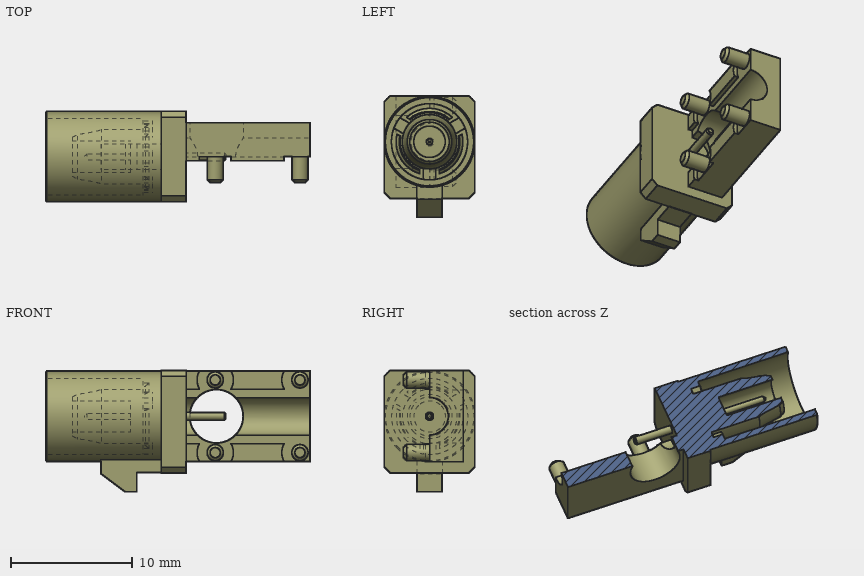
import cadquery as cq

OVERLAP = 0.2

FLANGE_START = 9.55
FLANGE_END = 11.6
PART_LENGTH = 21.85

BARREL_RADIUS = 3.75
BARREL_BORE_RADIUS = 3.15
BARREL_RIM_CHAMFER = 0.1
BORE_FLOOR = 8.0

FLANGE_WIDTH = 2 * BARREL_RADIUS
FLANGE_TOP = 3.8
FLANGE_BOTTOM = -4.7
FLANGE_CHAMFER = 0.5

LATCH_WIDTH = 2.1
LATCH_START = 4.55
LATCH_TIP_START = 6.55
LATCH_END = 7.52
LATCH_RAMP_TOP = -4.75
LATCH_RIB_BOTTOM = -4.65
LATCH_BOTTOM = -6.25
LATCH_ROOT = -3.4

TUBE_START = 2.2
TUBE_HOLE_RADIUS = 1.3
TUBE_NOSE_RADIUS = 1.63
TUBE_NECK_RADIUS = 1.84
TUBE_SHOULDER_RADIUS = 2.04
TUBE_RADIUS = 2.25
TUBE_NOSE_LENGTH = 0.4
TUBE_NECK_LENGTH = 1.2
TUBE_SHOULDER_LENGTH = 0.8
TUBE_HOLE_FLOOR = 7.0

KEYWAY_WIDTH = 1.0
KEYWAY_DEPTH = 0.8
KEYWAY_ANGLES = (30, 150, 270)
GROOVE_OUTER_RADIUS = 2.76
GROOVE_INNER_RADIUS = 2.42
GROOVE_STEP_RADIUS = 2.5
GROOVE_STEP_DEPTH = 0.2
GROOVE_DEPTH = 0.5
GROOVE_GAP_WIDTH = 1.6

PIN_START = 3.2
PIN_STEP = 10.5
PIN_END = 14.85
PIN_FRONT_RADIUS = 0.25
PIN_REAR_RADIUS = 0.33
PIN_TIP_CHAMFER = 0.2
PIN_END_CHAMFER = 0.12

BLOCK_HEIGHT = 7.5
BLOCK_BACK = 2.8
CHANNEL_RADIUS = 1.55
WINDOW_X = 14.1
WINDOW_RADIUS = 2.2

LEG_X = (14.0, 21.0)
LEG_Z = 3.0
LEG_RADIUS = 0.67
LEG_LENGTH = 2.15
LEG_CHAMFER = 0.25
PAD_THICKNESS = 0.35
PAD_INNER_Z = 2.25
PAD_CLEARANCE_RADIUS = 1.5
PAD_END = LEG_X[-1]


def x_cylinder(radius, start, end):
    return cq.Workplane("YZ", origin=(start, 0, 0)).circle(radius).extrude(end - start)


def y_cylinder(radius, x, z, front, back):
    return cq.Workplane("XZ", origin=(0, front, 0)).center(x, z).circle(radius).extrude(front - back)


def box(x_range, y_range, z_range):
    size = [high - low for low, high in (x_range, y_range, z_range)]
    corner = (x_range[0], y_range[0], z_range[0])
    return cq.Workplane("XY").box(*size, centered=False).translate(corner)


def revolve_about_x(points):
    return cq.Workplane("XY").polyline(points).close().revolve(360, (0, 0, 0), (1, 0, 0))


def radial_bar(angle, width, length, start, end):
    """Bar running outward from the axis at the given angle in the YZ plane."""
    bar = box((start, end), (0, length), (-width / 2, width / 2))
    return bar.rotate((0, 0, 0), (1, 0, 0), angle)


def make_barrel():
    shroud = x_cylinder(BARREL_RADIUS, 0, FLANGE_START + OVERLAP)
    shroud = shroud.faces("<X").chamfer(BARREL_RIM_CHAMFER)
    return shroud.cut(x_cylinder(BARREL_BORE_RADIUS, 0, BORE_FLOOR))


def make_flange():
    plate = box(
        (FLANGE_START, FLANGE_END),
        (-FLANGE_WIDTH / 2, FLANGE_WIDTH / 2),
        (FLANGE_BOTTOM, FLANGE_TOP),
    )
    return plate.edges("|X").chamfer(FLANGE_CHAMFER)


def make_latch():
    outline = [
        (LATCH_START, LATCH_ROOT),
        (LATCH_START, LATCH_RAMP_TOP),
        (LATCH_TIP_START, LATCH_BOTTOM),
        (LATCH_END, LATCH_BOTTOM),
        (LATCH_END, LATCH_RIB_BOTTOM),
        (FLANGE_START + OVERLAP, LATCH_RIB_BOTTOM),
        (FLANGE_START + OVERLAP, LATCH_ROOT),
    ]
    return cq.Workplane("XZ").polyline(outline).close().extrude(LATCH_WIDTH / 2, both=True)


def cut_bore_floor(body):
    """Cut three radial keyways and, between them, three arc grooves with conical inner walls."""
    groove = revolve_about_x([
        (BORE_FLOOR, GROOVE_INNER_RADIUS),
        (BORE_FLOOR, GROOVE_OUTER_RADIUS),
        (BORE_FLOOR + GROOVE_DEPTH, GROOVE_OUTER_RADIUS),
        (BORE_FLOOR + GROOVE_STEP_DEPTH, GROOVE_STEP_RADIUS),
    ])
    bore = x_cylinder(BARREL_BORE_RADIUS, BORE_FLOOR, BORE_FLOOR + KEYWAY_DEPTH)
    for angle in KEYWAY_ANGLES:
        gap = radial_bar(angle, GROOVE_GAP_WIDTH, BARREL_RADIUS, BORE_FLOOR, BORE_FLOOR + GROOVE_DEPTH)
        groove = groove.cut(gap)
        keyway = radial_bar(angle, KEYWAY_WIDTH, BARREL_RADIUS, BORE_FLOOR, BORE_FLOOR + KEYWAY_DEPTH)
        body = body.cut(keyway.intersect(bore))
    return body.cut(groove)


def make_contact_tube():
    nose_end = TUBE_START + TUBE_NOSE_LENGTH
    neck_end = nose_end + TUBE_NECK_LENGTH
    shoulder_end = neck_end + TUBE_SHOULDER_LENGTH
    profile = (
        cq.Workplane("XY")
        .moveTo(TUBE_START, TUBE_HOLE_RADIUS)
        .lineTo(TUBE_START, TUBE_NOSE_RADIUS)
        .lineTo(nose_end, TUBE_NECK_RADIUS)
        .lineTo(neck_end, TUBE_SHOULDER_RADIUS)
        .tangentArcPoint((shoulder_end, TUBE_RADIUS), relative=False)
        .lineTo(FLANGE_START, TUBE_RADIUS)
        .lineTo(FLANGE_START, 0)
        .lineTo(TUBE_HOLE_FLOOR, 0)
        .lineTo(TUBE_HOLE_FLOOR, TUBE_HOLE_RADIUS)
        .close()
    )
    return profile.revolve(360, (0, 0, 0), (1, 0, 0))


def make_centre_pin():
    front = x_cylinder(PIN_FRONT_RADIUS, PIN_START, PIN_STEP)
    front = front.faces("<X").chamfer(PIN_TIP_CHAMFER)
    rear = x_cylinder(PIN_REAR_RADIUS, PIN_STEP, PIN_END)
    rear = rear.faces(">X").chamfer(PIN_END_CHAMFER)
    return front.union(rear)


def make_pad(side):
    """Standoff pad along the upper (side = 1) or lower (side = -1) edge of the block."""
    z_range = sorted((side * PAD_INNER_Z, side * BLOCK_HEIGHT / 2))
    pad = box((FLANGE_END - OVERLAP, PAD_END), (-PAD_THICKNESS, OVERLAP), z_range)
    for x in LEG_X:
        pad = pad.cut(y_cylinder(PAD_CLEARANCE_RADIUS, x, side * LEG_Z, 0, -PAD_THICKNESS))
    return pad


def make_leg(x, z):
    leg = y_cylinder(LEG_RADIUS, x, z, OVERLAP, -LEG_LENGTH)
    return leg.faces("<Y").chamfer(LEG_CHAMFER)


def make_mounting_block():
    block = box(
        (FLANGE_END - OVERLAP, PART_LENGTH),
        (0, BLOCK_BACK),
        (-BLOCK_HEIGHT / 2, BLOCK_HEIGHT / 2),
    )
    for side in (1, -1):
        block = block.union(make_pad(side))
        for x in LEG_X:
            block = block.union(make_leg(x, side * LEG_Z))
    block = block.cut(x_cylinder(CHANNEL_RADIUS, FLANGE_END, PART_LENGTH))
    return block.cut(y_cylinder(WINDOW_RADIUS, WINDOW_X, 0, BLOCK_BACK, -PAD_THICKNESS))


shell = make_barrel().union(make_flange()).union(make_latch())
shell = cut_bore_floor(shell)
result = shell.union(make_mounting_block()).union(make_contact_tube()).union(make_centre_pin())